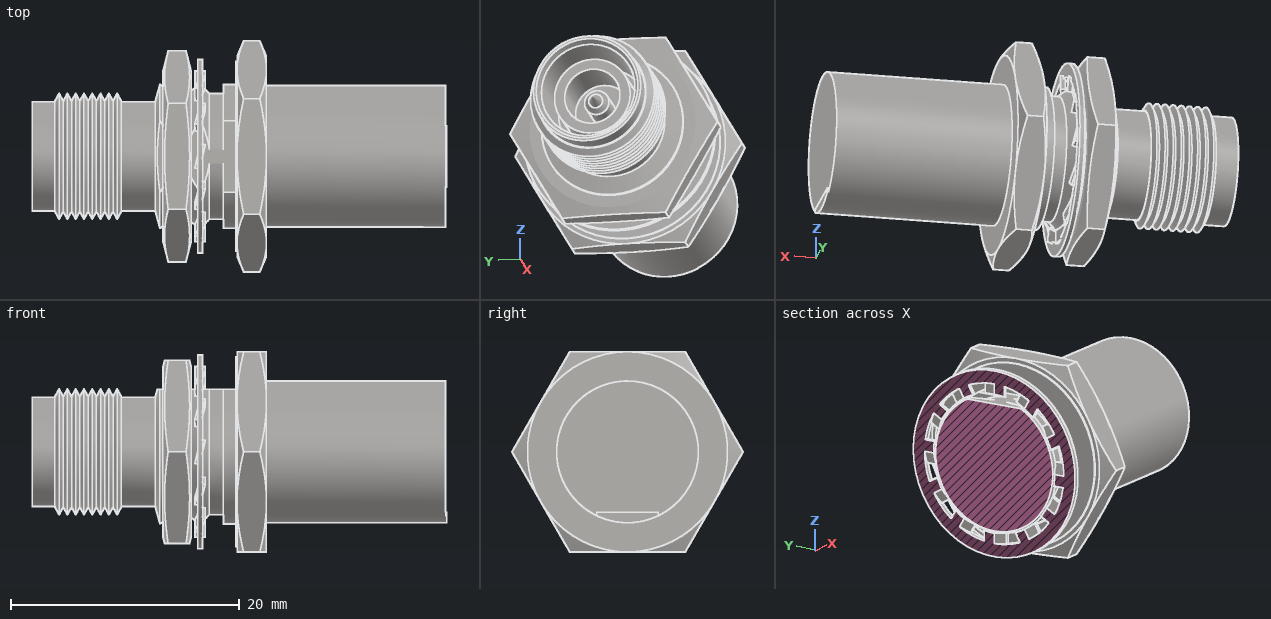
import cadquery as cq
import math

LENGTH = 36.25

BARREL_R = 4.8
RIM_R = 4.55
MOUTH_R = 4.17
MOUTH_DEPTH = 0.5
SOCKET_FLOOR_R = 4.0
SOCKET_FLOOR_X = 7.25

COUPLING_X = 2.0
COUPLING_LENGTH = 5.8
COUPLING_RINGS = 8
COUPLING_ROOT_R = 4.85
COUPLING_CREST_R = 5.5

MOUNT_X = 10.77
MOUNT_START_R = 4.85
MOUNT_CREST_R = 6.3
MOUNT_ROOT_R = 5.73
MOUNT_FIRST_CREST_X = 11.15
MOUNT_PITCH = 1.78
MOUNT_CRESTS = 3
NECK_X = 15.5
NECK_R = 5.5
COLLAR_X = 16.7
FLAT_Z = 5.48

FLANGE_FACE_X = 17.8
FLANGE_FACE_R = 8.3
FLANGE_X = 17.9
FLANGE_END_X = 20.5
FLANGE_FLATS = 17.5
FLANGE_CHAMFER_R = FLANGE_FLATS / 2
FLANGE_CHAMFER_DEPTH = 0.58
TUBE_R = 6.2
LIP_LENGTH = 0.1
LIP_WIDTH = 5.35
LIP_TOP_Z = -5.25
TUBE_END_X = LENGTH - LIP_LENGTH

NUT_X = 11.42
NUT_END_X = 13.92
NUT_FLATS = 16.03
NUT_CHAMFER_R = 7.4
NUT_CHAMFER_DEPTH = 0.47

WASHER_X = 14.45
WASHER_END_X = 14.9
WASHER_R = 8.5
WASHER_RIM_R = 7.25
TOOTH_END_R = 7.47
TOOTH_TRIM = 0.35
TOOTH_COUNT = 12
TOOTH_WIDTH = 2.18
TOOTH_THICKNESS = 0.45
TOOTH_TWIST = -13.0

INSULATOR_X = 2.35
INSULATOR_R = 3.37
INSULATOR_BORE_R = 2.45
INSULATOR_SEAT_DEPTH = 3.63
INSULATOR_END_X = SOCKET_FLOOR_X + INSULATOR_SEAT_DEPTH

PIN_R = 1.1
PIN_TIP_X = 2.4
PIN_NOSE_R = 0.6
PIN_NOSE_LENGTH = 1.45
PIN_CONE_LENGTH = 0.47


def revolve(points):
    """Turn a closed (x, radius) outline about the X axis."""
    return cq.Workplane("XY").polyline(points).close().revolve(360, (0, 0, 0), (1, 0, 0))


def cylinder(x_start, x_end, radius):
    return cq.Workplane("YZ", origin=(x_start, 0, 0)).circle(radius).extrude(x_end - x_start)


def chamfered_hexagon(x_start, x_end, across_flats, face_radius, chamfer_depth):
    """Hexagon with flats up and down, its corners cut by a cone at both ends."""
    corner_radius = across_flats / math.sqrt(3)
    prism = (
        cq.Workplane("YZ", origin=(x_start, 0, 0))
        .polygon(6, 2 * corner_radius)
        .extrude(x_end - x_start)
    )
    envelope = revolve([
        (x_start, 0),
        (x_start, face_radius),
        (x_start + chamfer_depth, corner_radius),
        (x_end - chamfer_depth, corner_radius),
        (x_end, face_radius),
        (x_end, 0),
    ])
    return prism.intersect(envelope)


def barrel():
    pitch = COUPLING_LENGTH / COUPLING_RINGS
    outline = [(0, 0), (0, BARREL_R), (COUPLING_X, BARREL_R), (COUPLING_X, COUPLING_ROOT_R)]
    for ring in range(COUPLING_RINGS):
        ring_x = COUPLING_X + ring * pitch
        outline.append((ring_x + pitch / 2, COUPLING_CREST_R))
        outline.append((ring_x + pitch, COUPLING_ROOT_R))
    thread_end_x = COUPLING_X + COUPLING_LENGTH
    outline += [(thread_end_x, BARREL_R), (MOUNT_X, BARREL_R), (MOUNT_X, 0)]
    return revolve(outline)


def mounting_section():
    """Mounting thread, neck and collar, with one flat along the top."""
    outline = [(MOUNT_X, 0), (MOUNT_X, MOUNT_START_R)]
    for crest in range(MOUNT_CRESTS):
        crest_x = MOUNT_FIRST_CREST_X + crest * MOUNT_PITCH
        if crest > 0:
            outline.append((crest_x - MOUNT_PITCH / 2, MOUNT_ROOT_R))
        outline.append((crest_x, MOUNT_CREST_R))
    outline += [
        (NECK_X, NECK_R),
        (COLLAR_X, NECK_R),
        (COLLAR_X, MOUNT_CREST_R),
        (FLANGE_FACE_X, MOUNT_CREST_R),
        (FLANGE_FACE_X, 0),
    ]
    above_flat = cq.Workplane("XY").box(
        FLANGE_FACE_X, 2 * MOUNT_CREST_R, MOUNT_CREST_R, centered=(False, True, False)
    ).translate((0, 0, FLAT_Z))
    return revolve(outline).cut(above_flat)


def flange():
    hexagon = chamfered_hexagon(
        FLANGE_X, FLANGE_END_X, FLANGE_FLATS, FLANGE_CHAMFER_R, FLANGE_CHAMFER_DEPTH
    )
    return hexagon.union(cylinder(FLANGE_FACE_X, FLANGE_X, FLANGE_FACE_R))


def rear_tube():
    """Plain round rear end with a narrow lip at the bottom of its end face."""
    lip_block = cq.Workplane("XY").box(
        LIP_LENGTH, LIP_WIDTH, TUBE_R, centered=(False, True, False)
    ).translate((TUBE_END_X, 0, LIP_TOP_Z - TUBE_R))
    lip = cylinder(TUBE_END_X, LENGTH, TUBE_R).intersect(lip_block)
    return cylinder(FLANGE_END_X, TUBE_END_X, TUBE_R).union(lip)


def socket():
    """Space inside the barrel: chamfered mouth, taper, and the insulator's seat."""
    return revolve([
        (0, 0),
        (0, RIM_R),
        (MOUTH_DEPTH, MOUTH_R),
        (SOCKET_FLOOR_X, SOCKET_FLOOR_R),
        (SOCKET_FLOOR_X, INSULATOR_R),
        (INSULATOR_END_X, INSULATOR_R),
        (INSULATOR_END_X, 0),
    ])


def make_housing():
    body = barrel().union(mounting_section()).union(flange()).union(rear_tube())
    return body.cut(socket())


def make_nut():
    hexagon = chamfered_hexagon(NUT_X, NUT_END_X, NUT_FLATS, NUT_CHAMFER_R, NUT_CHAMFER_DEPTH)
    return hexagon.cut(cylinder(NUT_X, NUT_END_X, MOUNT_CREST_R))


def make_lock_washer():
    """Flat rim with twisted teeth that point inward to the thread crests."""
    rim = cylinder(WASHER_X, WASHER_END_X, WASHER_R)
    washer = rim.cut(cylinder(WASHER_X, WASHER_END_X, WASHER_RIM_R))
    inner_r = MOUNT_CREST_R - TOOTH_TRIM
    tooth = (
        cq.Workplane("XY")
        .box(TOOTH_THICKNESS, TOOTH_WIDTH, TOOTH_END_R - inner_r, centered=(True, True, False))
        .rotate((0, 0, 0), (0, 0, 1), TOOTH_TWIST)
        .translate(((WASHER_X + WASHER_END_X) / 2, 0, inner_r))
    )
    for index in range(TOOTH_COUNT):
        washer = washer.union(tooth.rotate((0, 0, 0), (1, 0, 0), index * 360 / TOOTH_COUNT))
    return washer.cut(cylinder(MOUNT_X, NECK_X, MOUNT_CREST_R))


def make_insulator():
    """Sleeve with an open front bore and a solid back that holds the pin."""
    return revolve([
        (INSULATOR_X, INSULATOR_BORE_R),
        (INSULATOR_X, INSULATOR_R),
        (INSULATOR_END_X, INSULATOR_R),
        (INSULATOR_END_X, PIN_R),
        (SOCKET_FLOOR_X, PIN_R),
        (SOCKET_FLOOR_X, INSULATOR_BORE_R),
    ])


def make_pin():
    cone_x = PIN_TIP_X + PIN_NOSE_LENGTH
    body_x = cone_x + PIN_CONE_LENGTH
    return revolve([
        (PIN_TIP_X, 0),
        (cone_x, PIN_NOSE_R),
        (body_x, PIN_R),
        (INSULATOR_END_X, PIN_R),
        (INSULATOR_END_X, 0),
    ])


housing = make_housing()
nut = make_nut()
lock_washer = make_lock_washer()
insulator = make_insulator()
pin = make_pin()

result = cq.Compound.makeCompound(
    [housing.val(), nut.val(), lock_washer.val(), insulator.val(), pin.val()]
)